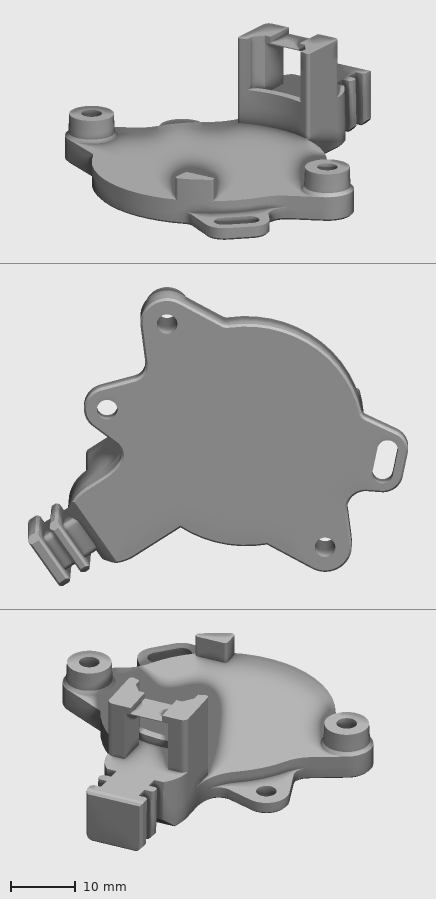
import cadquery as cq
import math

PLATE_TOP = 4.0
DISC_R = 18.2
BOTTOM_CHAMFER = 0.35
BOLT_HOLE_D = 3.2

EAR_X = 21.9
EAR_R = 4.125
EAR_FLANK_ANGLE = 26.7
EAR_BLEND_SMALL = 1.45
EAR_BLEND_LARGE = 6.9

PIN_TOP = 7.5
PIN_TOP_D = 6.9
PIN_BASE_D = 7.2
PIN_FLARE_D = 8.1
PIN_FLARE_H = 0.5

TAB_T = 2.0
TAB_OFFSET = 15.45
HOLE_TAB_R = 3.6
HOLE_TAB_FLANK = 18.0
SLOT_TAB_R = 3.2
SLOT_HALF_TRAVEL = 1.95
SLOT_OUTER_FLANK = 51.5
SLOT_INNER_FLANK = 30.0
HOLE_FLANK_L = 10.4
SLOT_FLANK_L = 11.55
TAB_BLENDS = [
    ((-16.75, 7.7), 2.3),
    ((-8.25, 16.9), 2.3),
    ((16.3, -8.2), 2.9),
    ((7.25, -16.7), 1.45),
]

TOWER_X = 0.2
TOWER_W = 13.5
TOWER_BACK_Y = 25.75
TOWER_TOP = 17.8
TOWER_FRONT_R = 18.3
TOWER_FRONT_FILLET = 0.5
TOWER_BACK_FILLET = 0.9
FLARE_R = 8.35

TUNNEL_W = 7.4
TUNNEL_TOP = 16.6
MOUTH_W = 10.0
MOUTH_STRAIGHT_Y = 18.9
MOUTH_END_Y = 20.55
LIP_TOP = 9.5
LIP_BACK_R = 19.7
TOP_GROOVE_W = 5.35
TOP_GROOVE_FLOOR = 16.8

TAIL_TILT = 2.2
TAIL_TOP = 8.4
TAIL_ARC_START_Y = 25.05
SHOULDER_Y = 29.75
SHOULDER_HALF_W = 4.8
SHOULDER_UNDERCUT_Y = 28.05
NECK_W = 6.4
NECK_BOTTOM = 1.55
NECK_FRONT_Y = MOUTH_END_Y + 2.9
NECK_FILLET = 0.85
RIB_W = 9.65
RIB_FRONT_Y = 31.8
RIB_BACK_Y = 33.35
TIP_FRONT_Y = 35.4
TIP_END_Y = 37.7
RIB_CHAMFER = 0.4
RIB_FOOT_CHAMFER = 1.05
TIP_BEVEL_END = (0, 0.5)
TIP_BEVEL_MIDDLE = (0.35, 0.2)
TIP_BEVEL_START = (0.9, 0)

BLOCK_LEFT = 5.1
BLOCK_BACK_Y = -14.0
BLOCK_FILLET = 0.5


def polar(radius, degrees, center=(0, 0)):
    """Point at a radius and angle around a centre."""
    angle = math.radians(degrees)
    return (center[0] + radius * math.cos(angle), center[1] + radius * math.sin(angle))


def slab(x_range, y_range, z_range):
    """Axis-aligned box given by its limits."""
    size = [limits[1] - limits[0] for limits in (x_range, y_range, z_range)]
    corner = (x_range[0], y_range[0], z_range[0])
    return cq.Workplane("XY").box(*size, centered=False).translate(corner)


def mid_slab(width, y_range, z_range):
    """Box centred on the tower's middle plane."""
    return slab((TOWER_X - width / 2, TOWER_X + width / 2), y_range, z_range)


def cylinder(radius, height):
    return cq.Workplane("XY").circle(radius).extrude(height)


def blend_upright_edge(solid, point, radius):
    """Fillet the upright edge nearest to a plan position."""
    nearest = cq.selectors.NearestToPointSelector((*point, TAB_T / 2))
    return solid.edges("|Z").edges(nearest).fillet(radius)


EAR_NORMAL = 90 - EAR_FLANK_ANGLE
EAR_TANGENT = polar(EAR_R, EAR_NORMAL, (EAR_X, 0))
FLANK_DISTANCE = EAR_X * math.cos(math.radians(EAR_NORMAL)) + EAR_R
EAR_CORNER = polar(DISC_R, EAR_NORMAL - math.degrees(math.acos(FLANK_DISTANCE / DISC_R)))
TOWER_LEFT = TOWER_X - TOWER_W / 2


def ears():
    """Both ears as one lozenge; its blunt upper and lower corners lie inside the disc."""
    apex_y = FLANK_DISTANCE / math.sin(math.radians(EAR_NORMAL))
    x, y = EAR_TANGENT
    end_x = EAR_X + EAR_R
    return (
        cq.Workplane("XY")
        .moveTo(0, -apex_y)
        .lineTo(x, -y)
        .threePointArc((end_x, 0), (x, y))
        .lineTo(0, apex_y)
        .lineTo(-x, y)
        .threePointArc((-end_x, 0), (-x, -y))
        .close()
        .extrude(PLATE_TOP)
    )


def flare():
    """Concave fill tangent to both the disc and the left side of the tower."""
    reach = DISC_R + FLARE_R
    center_x = TOWER_LEFT - FLARE_R
    center = (center_x, math.sqrt(reach**2 - center_x**2))
    disc_angle = math.degrees(math.atan2(-center[1], -center[0]))
    return (
        cq.Workplane("XY")
        .moveTo(TOWER_LEFT, center[1])
        .threePointArc(polar(FLARE_R, disc_angle / 2, center), polar(FLARE_R, disc_angle, center))
        .lineTo(TOWER_LEFT, 0)
        .lineTo(TOWER_X, center[1])
        .close()
        .extrude(PLATE_TOP)
    )


def base_plate():
    plate = cylinder(DISC_R, PLATE_TOP).union(ears())
    x, y = EAR_CORNER
    for corner, radius in [
        ((-x, y), EAR_BLEND_LARGE),
        ((x, -y), EAR_BLEND_LARGE),
        ((-x, -y), EAR_BLEND_SMALL),
    ]:
        plate = blend_upright_edge(plate, corner, radius)
    tower_root = mid_slab(TOWER_W, (0, TAIL_ARC_START_Y), (0, PLATE_TOP))
    return plate.union(tower_root).union(flare())


SLOT_CENTER = (TAB_OFFSET, -TAB_OFFSET)
SLOT_SHIFT = SLOT_HALF_TRAVEL / math.sqrt(2)
SLOT_UPPER = (TAB_OFFSET + SLOT_SHIFT, SLOT_SHIFT - TAB_OFFSET)
SLOT_LOWER = (TAB_OFFSET - SLOT_SHIFT, -SLOT_SHIFT - TAB_OFFSET)
HOLE_CENTER = (-TAB_OFFSET, TAB_OFFSET)


def hole_tab():
    """Rounded lug whose flanks widen evenly toward the disc."""
    upper = polar(HOLE_TAB_R, 90 - HOLE_TAB_FLANK, HOLE_CENTER)
    lower = polar(HOLE_TAB_R, 180 + HOLE_TAB_FLANK, HOLE_CENTER)
    upper_end = polar(HOLE_FLANK_L, -HOLE_TAB_FLANK, upper)
    lower_end = polar(HOLE_FLANK_L, HOLE_TAB_FLANK - 90, lower)
    return (
        cq.Workplane("XY")
        .moveTo(*upper_end)
        .lineTo(*upper)
        .threePointArc(polar(HOLE_TAB_R, 135, HOLE_CENTER), lower)
        .lineTo(*lower_end)
        .close()
        .extrude(TAB_T)
    )


def slot_tab():
    """Rounded lug around the slot, with flanks of unequal slope."""
    right = polar(SLOT_TAB_R, 90 - SLOT_OUTER_FLANK, SLOT_UPPER)
    left = polar(SLOT_TAB_R, -90 - SLOT_INNER_FLANK, SLOT_LOWER)
    right_end = polar(SLOT_FLANK_L, 180 - SLOT_OUTER_FLANK, right)
    left_end = polar(SLOT_FLANK_L, 180 - SLOT_INNER_FLANK, left)
    return (
        cq.Workplane("XY")
        .moveTo(*right_end)
        .lineTo(*right)
        .threePointArc(polar(SLOT_TAB_R, 0, SLOT_UPPER), polar(SLOT_TAB_R, -45, SLOT_UPPER))
        .lineTo(*polar(SLOT_TAB_R, -45, SLOT_LOWER))
        .threePointArc(polar(SLOT_TAB_R, -90, SLOT_LOWER), left)
        .lineTo(*left_end)
        .close()
        .extrude(TAB_T)
    )


def plate_with_tabs():
    plate = base_plate()
    everywhere = (-2 * DISC_R, 2 * DISC_R)
    lower_layer = plate.intersect(slab(everywhere, everywhere, (0, TAB_T)))
    lower_layer = lower_layer.union(hole_tab()).union(slot_tab())
    for corner, radius in TAB_BLENDS:
        lower_layer = blend_upright_edge(lower_layer, corner, radius)
    return plate.union(lower_layer).faces("<Z").edges().chamfer(BOTTOM_CHAMFER)


def tower():
    body = mid_slab(TOWER_W, (0, TOWER_BACK_Y), (PLATE_TOP, TOWER_TOP))
    body = body.cut(cylinder(TOWER_FRONT_R, TOWER_TOP))
    body = body.edges("|Z and >Y").fillet(TOWER_BACK_FILLET)
    for side_x in (TOWER_LEFT, TOWER_LEFT + TOWER_W):
        front_edge = cq.selectors.NearestToPointSelector((side_x, EAR_CORNER[0], TOWER_TOP / 2))
        body = body.edges("|Z").edges(front_edge).fillet(TOWER_FRONT_FILLET)
    return body


def mouth():
    """Plan of the open front pocket: straight sides that taper down to the tunnel width."""
    half_mouth = MOUTH_W / 2
    half_tunnel = TUNNEL_W / 2
    return (
        cq.Workplane("XY")
        .polyline([
            (TOWER_X - half_mouth, 0),
            (TOWER_X + half_mouth, 0),
            (TOWER_X + half_mouth, MOUTH_STRAIGHT_Y),
            (TOWER_X + half_tunnel, MOUTH_END_Y),
            (TOWER_X - half_tunnel, MOUTH_END_Y),
            (TOWER_X - half_mouth, MOUTH_STRAIGHT_Y),
        ])
        .close()
        .extrude(TOWER_TOP)
    )


def tilted(solid):
    """Lean a solid with the tail, turning about the tail top at the tower back."""
    return solid.rotate((0, TOWER_BACK_Y, TAIL_TOP), (1, TOWER_BACK_Y, TAIL_TOP), TAIL_TILT)


def tower_cavity():
    """Pocket and tunnel over the sloping tail top, with a lip left along the front."""
    tunnel = mid_slab(TUNNEL_W, (0, 2 * TOWER_BACK_Y), (0, TUNNEL_TOP))
    above_floor = tilted(mid_slab(TOWER_W, (0, 2 * TOWER_BACK_Y), (TAIL_TOP, 2 * TOWER_TOP)))
    behind_lip = above_floor.cut(cylinder(LIP_BACK_R, LIP_TOP))
    groove = mid_slab(TOP_GROOVE_W, (0, TOWER_BACK_Y), (TOP_GROOVE_FLOOR, TOWER_TOP))
    return mouth().union(tunnel).intersect(behind_lip).union(groove)


def shoulder():
    """Rounded block behind the tower, undercut at its lower back edge."""
    half_w = TOWER_W / 2
    run_in = half_w - SHOULDER_HALF_W
    length = SHOULDER_Y - TAIL_ARC_START_Y
    arc_r = (length**2 + run_in**2) / (2 * run_in)
    half_turn = math.degrees(math.asin(length / arc_r)) / 2
    left_mid = polar(arc_r, 180 - half_turn, (TOWER_X - half_w + arc_r, TAIL_ARC_START_Y))
    right_mid = polar(arc_r, half_turn, (TOWER_X + half_w - arc_r, TAIL_ARC_START_Y))
    block = (
        cq.Workplane("XY")
        .workplane(offset=-TAIL_TOP)
        .moveTo(TOWER_X - half_w, MOUTH_END_Y)
        .lineTo(TOWER_X - half_w, TAIL_ARC_START_Y)
        .threePointArc(left_mid, (TOWER_X - SHOULDER_HALF_W, SHOULDER_Y))
        .lineTo(TOWER_X + SHOULDER_HALF_W, SHOULDER_Y)
        .threePointArc(right_mid, (TOWER_X + half_w, TAIL_ARC_START_Y))
        .lineTo(TOWER_X + half_w, MOUTH_END_Y)
        .close()
        .extrude(2 * TAIL_TOP)
    )
    back = SHOULDER_UNDERCUT_Y + TOWER_TOP
    below = (
        cq.Workplane("YZ")
        .polyline([
            (MOUTH_END_Y, 0),
            (SHOULDER_UNDERCUT_Y, 0),
            (back, TOWER_TOP),
            (MOUTH_END_Y, TOWER_TOP),
        ])
        .close()
        .extrude(TOWER_W, both=True)
    )
    return tilted(block).intersect(below).edges("<Z").edges("not(<Y or >Y)").chamfer(BOTTOM_CHAMFER)


def foot_outline():
    """Prism along Y, as wide as a rib, with both lower corners bevelled."""
    prism = mid_slab(RIB_W, (0, 2 * TIP_END_Y), (0, TOWER_TOP))
    return prism.edges("|Y and <Z").chamfer(RIB_FOOT_CHAMFER)


def rib(front_y, back_y, back_tilt):
    """Cross rib; front_y and back_y are taken at the tail-top reference height."""
    lean = math.tan(math.radians(TAIL_TILT))
    front_foot = front_y + lean * TAIL_TOP
    back_foot = back_y + back_tilt * lean * TAIL_TOP
    solid = (
        cq.Workplane("YZ", origin=(TOWER_X, 0, 0))
        .polyline([
            (front_foot, 0),
            (back_foot, 0),
            (back_foot - back_tilt * lean * TOWER_TOP, TOWER_TOP),
            (front_foot - lean * TOWER_TOP, TOWER_TOP),
        ])
        .close()
        .extrude(RIB_W / 2, both=True)
    )
    solid = solid.edges("<X or >X").edges("not(<Z or >Z)").chamfer(RIB_CHAMFER)
    solid = solid.faces("<Z").edges("|X").chamfer(BOTTOM_CHAMFER)
    return solid.intersect(foot_outline())


def neck():
    body = mid_slab(NECK_W, (NECK_FRONT_Y, TIP_END_Y), (NECK_BOTTOM, TOWER_TOP))
    return body.edges("|Y and <Z").fillet(NECK_FILLET)


def tip_bevel():
    """Two-step bevel removed from the top edge at the tail end."""
    tip_top = TAIL_TOP + (TIP_END_Y - TOWER_BACK_Y) * math.tan(math.radians(TAIL_TILT))
    bevel = [TIP_BEVEL_END, TIP_BEVEL_MIDDLE, TIP_BEVEL_START]
    points = [(TIP_END_Y - inset, tip_top - drop) for inset, drop in bevel]
    points += [(TIP_END_Y - TIP_BEVEL_START[0], TOWER_TOP), (TIP_END_Y, TOWER_TOP)]
    return cq.Workplane("YZ").polyline(points).close().extrude(TOWER_W, both=True)


def tail():
    below_top = tilted(mid_slab(TOWER_W, (0, 2 * TIP_END_Y), (-TAIL_TOP, TAIL_TOP)))
    body = neck().union(rib(RIB_FRONT_Y, RIB_BACK_Y, 1)).union(rib(TIP_FRONT_Y, TIP_END_Y, 0))
    body = body.intersect(below_top)
    body = body.cut(tip_bevel())
    return body.union(shoulder().intersect(below_top))


def pin(x):
    flare_top = PLATE_TOP + PIN_FLARE_H
    profile = [
        (0, BOTTOM_CHAMFER),
        (PIN_FLARE_D / 2, BOTTOM_CHAMFER),
        (PIN_FLARE_D / 2, PLATE_TOP),
        (PIN_BASE_D / 2, flare_top),
        (PIN_TOP_D / 2, PIN_TOP),
        (0, PIN_TOP),
    ]
    return cq.Workplane("XZ").polyline(profile).close().revolve(360, (0, 0), (0, 1)).translate((x, 0, 0))


def corner_block():
    """Stop block bounded by two straight sides and the disc edge."""
    corner = slab((BLOCK_LEFT, DISC_R), (-DISC_R, BLOCK_BACK_Y), (PLATE_TOP, PIN_TOP))
    return corner.intersect(cylinder(DISC_R, PIN_TOP)).edges("|Z").fillet(BLOCK_FILLET)


def openings():
    """Bolt holes through both pins and the upper left tab, and the slot in the other tab."""
    slot_length = 2 * SLOT_HALF_TRAVEL + BOLT_HOLE_D
    cutter = cq.Workplane("XY").center(*SLOT_CENTER).slot2D(slot_length, BOLT_HOLE_D, 45).extrude(PIN_TOP)
    for x, y in [(-EAR_X, 0), (EAR_X, 0), HOLE_CENTER]:
        cutter = cutter.union(cylinder(BOLT_HOLE_D / 2, PIN_TOP).translate((x, y, 0)))
    return cutter


result = plate_with_tabs().union(tower()).union(tail()).union(corner_block())
result = result.union(pin(-EAR_X)).union(pin(EAR_X))
result = result.cut(tower_cavity()).cut(openings())